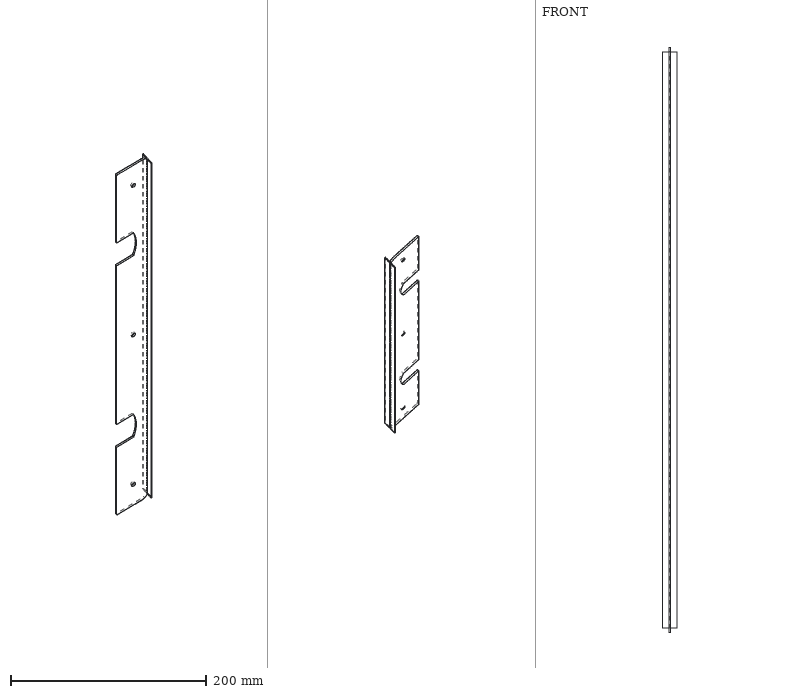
import cadquery as cq

length = 600.0
depth = 40.0
flange_width = 15.0

sheet = 1.0
web = 2 * sheet
bend_radius = 1.0
flange_end_gap = 5.0

back_corner = 9.0
front_corner = 1.0

hole_diameter = 5.0
hole_spacing = 264.0
hole_from_back = 18.5

notch_height = 40.0
notch_side_depth = 21.5
notch_depth = 25.0
notch_offset = 160.0

back = depth / 2
front = -depth / 2


def make_web():
    """Flat web with rounded corners, centred on X."""
    plate = cq.Workplane("XY").box(web, depth, length)
    plate = plate.edges("|X and >Y").fillet(back_corner)
    return plate.edges("|X and <Y").fillet(front_corner)


def make_flange():
    """Flange along the back edge, with the groove left by the two bends."""
    flange_length = length - 2 * flange_end_gap
    plate = cq.Workplane("XY").box(flange_width, sheet, flange_length)
    return plate.translate((0, back - sheet / 2, 0))


def make_bend_groove():
    """Cusped groove between the two outside bend radii."""
    return (
        cq.Workplane("XY", origin=(0, 0, -length / 2))
        .moveTo(-bend_radius, back)
        .radiusArc((0, back - bend_radius), bend_radius)
        .radiusArc((bend_radius, back), bend_radius)
        .close()
        .extrude(length)
    )


def make_notch(z):
    """Notch open to the front, with a bowed inner end."""
    half = notch_height / 2
    inner_corner = front + notch_side_depth
    return (
        cq.Workplane("YZ", origin=(-web / 2, 0, 0))
        .moveTo(front, z - half)
        .lineTo(inner_corner, z - half)
        .threePointArc((front + notch_depth, z), (inner_corner, z + half))
        .lineTo(front, z + half)
        .close()
        .extrude(web)
    )


def make_holes():
    """Row of holes along the web."""
    return (
        cq.Workplane("YZ", origin=(-web / 2, 0, 0))
        .pushPoints([(back - hole_from_back, i * hole_spacing) for i in (-1, 0, 1)])
        .circle(hole_diameter / 2)
        .extrude(web)
    )


result = make_web().union(make_flange())
result = result.cut(make_bend_groove()).cut(make_holes())
for side in (-1, 1):
    result = result.cut(make_notch(side * notch_offset))